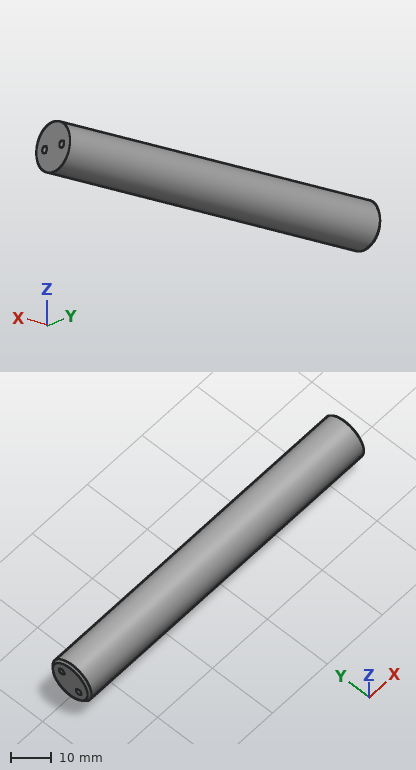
import cadquery as cq
import math

length = 100.0
diameter = 13.0
chamfer = 0.7

hole_diameter = 1.8
hole_circle_diameter = 6.6
hole_count = 2
first_hole_angle = 30.0
surface_helix_angle = 30.0

lead = math.pi * diameter / math.tan(math.radians(surface_helix_angle))
total_twist = 360.0 * length / lead


def make_rod():
    """Cylinder centred on the origin, chamfered at its -X end only."""
    start_face = cq.Workplane("YZ", origin=(-length / 2, 0, 0))
    rod = start_face.circle(diameter / 2).extrude(length)
    return rod.faces("<X").edges().chamfer(chamfer)


def make_coolant_hole(angle):
    """Cutter twisting around the rod axis, starting at the given angle."""
    radius = hole_circle_diameter / 2
    hole_y = radius * math.cos(math.radians(angle))
    hole_z = radius * math.sin(math.radians(angle))
    start_face = cq.Workplane("YZ", origin=(-length / 2, 0, 0))
    profile = start_face.pushPoints([(hole_y, hole_z)]).circle(hole_diameter / 2)
    return profile.twistExtrude(length, total_twist)


result = make_rod()
for index in range(hole_count):
    hole_angle = first_hole_angle + index * 360.0 / hole_count
    result = result.cut(make_coolant_hole(hole_angle))